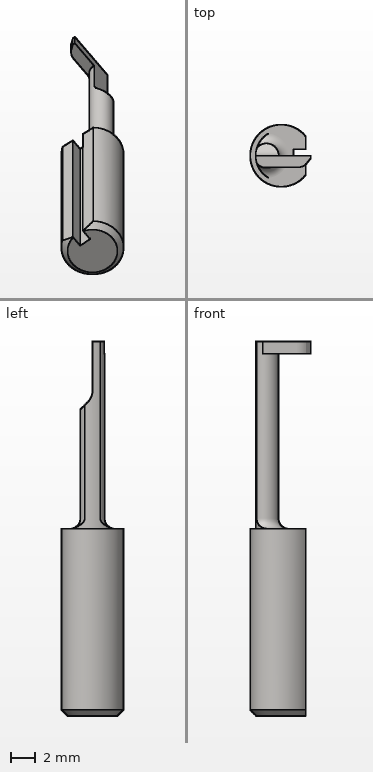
import math

import cadquery as cq

shank_radius = 2.5
shank_length = 15.0
shank_chamfer = 0.5
flat_x = 1.98
slot_floor_x = 1.0
slot_width = 1.0

overall_length = 30.0
neck_length = overall_length - shank_length
neck_radius = 0.985
neck_center_x = -1.19
neck_fillet = 0.8
clearance_radius = 2.05

relief_start_z = 26.1
relief_arc_radius = 1.4
relief_angle = math.radians(45)

head_height = 1.0
head_front_y = -0.945
head_tip_x = 2.38
nose_start_x = 1.25
nose_corner = (1.98, -0.7)
nose_end_y = -0.2


def make_shank():
    shank = cq.Workplane("XY").circle(shank_radius).extrude(shank_length)
    shank = shank.faces("<Z").chamfer(shank_chamfer)
    flat_cut = cq.Workplane("XY").box(
        shank_radius, 2 * shank_radius, shank_length, centered=(False, True, False)
    ).translate((flat_x, 0, 0))
    slot_cut = cq.Workplane("XY").box(
        shank_radius, slot_width, shank_length, centered=(False, True, False)
    ).translate((slot_floor_x, 0, 0))
    return shank.cut(flat_cut).cut(slot_cut)


def make_neck():
    """Revolve the neck with its concave root flare about the neck axis, then trim and relieve it."""
    flare_radius = neck_radius + neck_fillet
    flare_top_z = shank_length + neck_fillet
    arc_offset = neck_fillet * (1 - math.sqrt(0.5))
    profile = (
        cq.Workplane("XZ")
        .moveTo(0, shank_length)
        .lineTo(flare_radius, shank_length)
        .threePointArc(
            (neck_radius + arc_offset, shank_length + arc_offset),
            (neck_radius, flare_top_z),
        )
        .lineTo(neck_radius, overall_length)
        .lineTo(0, overall_length)
        .close()
    )
    neck = profile.revolve(360, (0, 0, 0), (0, 1, 0))
    neck = neck.rotate((0, 0, 0), (0, 0, 1), 180).translate((neck_center_x, 0, 0))
    return neck.cut(make_neck_trim()).cut(make_relief())


def make_relief():
    """Prism behind y = 0 whose lower end curves outward into a slope."""

    def arc_point(angle):
        y = relief_arc_radius * (1 - math.cos(angle))
        z = relief_start_z - relief_arc_radius * math.sin(angle)
        return y, z

    slope_start_y, slope_start_z = arc_point(relief_angle)
    outer_y = shank_radius
    slope_end_z = slope_start_z - (outer_y - slope_start_y) / math.tan(relief_angle)
    return (
        cq.Workplane("YZ")
        .moveTo(0, overall_length)
        .lineTo(0, relief_start_z)
        .threePointArc(arc_point(relief_angle / 2), (slope_start_y, slope_start_z))
        .lineTo(outer_y, slope_end_z)
        .lineTo(outer_y, overall_length)
        .close()
        .extrude(2 * shank_radius, both=True)
    )


def make_head():
    """Arm from the neck out to the cutting nose, rounded and then sloped to the tip."""
    return (
        cq.Workplane("XY", origin=(0, 0, overall_length - head_height))
        .moveTo(neck_center_x, 0)
        .lineTo(neck_center_x, head_front_y)
        .lineTo(nose_start_x, head_front_y)
        .tangentArcPoint(nose_corner, relative=False)
        .lineTo(head_tip_x, nose_end_y)
        .lineTo(head_tip_x, 0)
        .close()
        .extrude(head_height)
    )


def make_neck_trim():
    """Material to remove: outside the clearance circle and in front of the head's flat."""
    ring = (
        cq.Workplane("XY", origin=(0, 0, shank_length))
        .circle(2 * shank_radius)
        .circle(clearance_radius)
        .extrude(neck_length)
    )
    head_flat = cq.Workplane("XY").box(
        2 * shank_radius, shank_radius, head_height, centered=(True, False, False)
    ).translate((0, head_front_y - shank_radius, overall_length - head_height))
    return ring.union(head_flat)


result = make_shank().union(make_neck()).union(make_head())